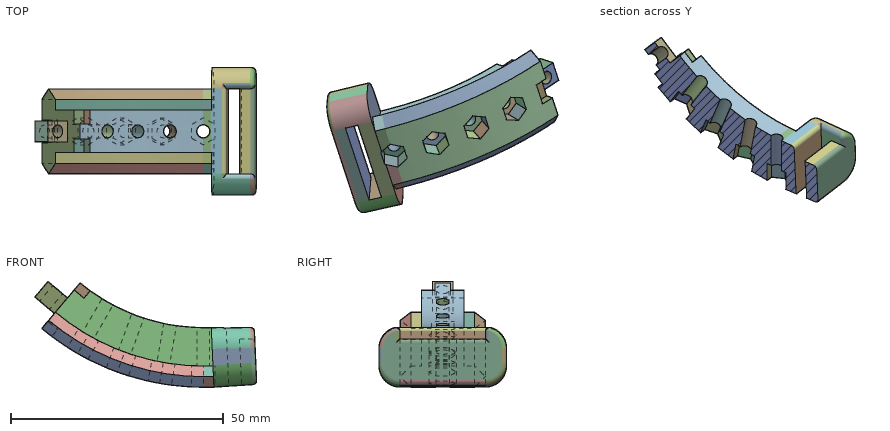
import cadquery as cq
import math

outer_radius = 59.0
arm_height = 14.0
arm_sweep = 40.0
flange_width = 20.0
flange_height = 5.0
flange_bevel = flange_height / 2
web_width = flange_width / 2
straight_length = 1.9

hole_diameter = 3.0
nut_across_flats = 5.5
nut_pocket_depth = flange_height
hole_angles = (0.0, 10.0, 20.0, 30.0)

lug_length = 6.0
lug_height = 4.8
lug_width = 4.9
notch_length = 3.0
notch_height = 2.2
lower_notch_width = 5.3
upper_tab_width = 3.55

head_length = 10.1
head_width = 30.0
head_tilt = 2.5
head_taper = 1.2
head_corner_radius = 5.05
head_edge_radius = 1.0
slot_start = 3.5
slot_length = 3.0
slot_width = flange_width
bar_recess = 3.0
pick_margin = 0.5

head_drop = head_length * math.tan(math.radians(head_taper))
head_lean = arm_height * math.sin(math.radians(head_tilt))


def arm_plane(angle):
    """Plane on the outer curve: local X along the arm, local Z toward the arc centre."""
    a = math.radians(angle)
    origin = (-outer_radius * math.sin(a), 0, outer_radius * (1 - math.cos(a)))
    along = (math.cos(a), 0, -math.sin(a))
    inward = (math.sin(a), 0, math.cos(a))
    return cq.Plane(origin, xDir=along, normal=inward)


def block(plane, x_range, y_range, z_range):
    """Box between the given limits of a plane's local axes."""
    sizes = [high - low for low, high in (x_range, y_range, z_range)]
    corner = (x_range[0], y_range[0], z_range[0])
    return cq.Workplane(plane).box(*sizes, centered=False).translate(
        plane.toWorldCoords(corner) - plane.origin
    )


def arm_section():
    half_flange = flange_width / 2
    half_web = web_width / 2
    half_base = half_flange - flange_bevel
    right_side = [
        (half_base, 0),
        (half_flange, flange_bevel),
        (half_base, flange_height),
        (half_web, flange_height),
        (half_web, arm_height),
    ]
    left_side = [(-y, z) for y, z in reversed(right_side)]
    return cq.Workplane("YZ").polyline(right_side + left_side).close()


def make_arm():
    curve = arm_section().revolve(arm_sweep, (0, outer_radius), (1, outer_radius))
    straight = arm_section().extrude(straight_length + head_lean)
    return curve.union(straight)


def make_screw_hole(angle):
    plane = arm_plane(angle)
    shank = (
        cq.Workplane(plane)
        .workplane(offset=-arm_height)
        .circle(hole_diameter / 2)
        .extrude(3 * arm_height)
    )
    nut_across_corners = nut_across_flats / math.cos(math.radians(30))
    pocket = (
        cq.Workplane(plane)
        .workplane(offset=-nut_pocket_depth)
        .transformed(rotate=(0, 0, 90))
        .polygon(6, nut_across_corners)
        .extrude(2 * nut_pocket_depth)
    )
    return shank.union(pocket)


def make_lug():
    plane = arm_plane(arm_sweep)
    bottom = (arm_height - lug_height) / 2
    half_width = lug_width / 2
    lug = block(plane, (-lug_length, 0), (-half_width, half_width), (bottom, bottom + lug_height))
    hole = (
        cq.Workplane(plane)
        .center(-lug_length / 2, 0)
        .circle(hole_diameter / 2)
        .extrude(arm_height)
    )
    return lug.cut(hole)


def make_end_notches():
    plane = arm_plane(arm_sweep)
    reach = (0, notch_length)
    upper = (arm_height - notch_height, arm_height + notch_height)
    half_lower = lower_notch_width / 2
    half_tab = upper_tab_width / 2
    notches = block(plane, reach, (-half_lower, half_lower), (-notch_height, notch_height))
    notches = notches.union(block(plane, reach, (half_tab, web_width), upper))
    return notches.union(block(plane, reach, (-web_width, -half_tab), upper))


def make_head():
    head = (
        cq.Workplane("XZ")
        .polyline([
            (0, 0),
            (head_length, -head_drop),
            (head_length, head_drop - arm_height),
            (0, -arm_height),
        ])
        .close()
        .extrude(head_width / 2, both=True)
    )
    head = head.edges("not(|Y or |Z)").fillet(head_corner_radius)
    across = (-slot_width / 2, slot_width / 2)
    local = cq.Plane.XY()
    slot = block(local, (slot_start, slot_start + slot_length), across, (-2 * arm_height, arm_height))
    recess = block(local, (slot_start, 2 * head_length), across, (-bar_recess, arm_height))
    head = head.cut(slot).cut(recess)

    rim = cq.selectors.BoxSelector(
        (slot_start - pick_margin, across[0] - pick_margin, -bar_recess / 2),
        (head_length - pick_margin, across[1] + pick_margin, pick_margin),
    )
    head = head.edges(rim).fillet(head_edge_radius)
    head = head.faces(">X").edges().fillet(head_edge_radius)

    head = head.rotate((0, 0, 0), (0, 1, 0), -head_tilt)
    return head.translate((straight_length, 0, arm_height))


result = make_arm().union(make_head())
for hole_angle in hole_angles:
    result = result.cut(make_screw_hole(hole_angle))
result = result.cut(make_end_notches()).union(make_lug())